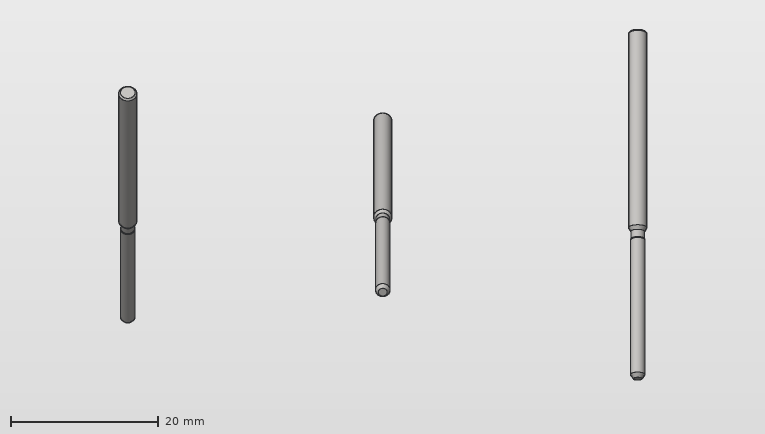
import cadquery as cq

total_length = 50.0

shank_radius = 1.25
shank_top_chamfer = 0.25
shank_bottom_z = 21.75
neck_radius = 0.95
neck_top_z = 21.2

pin_radius = 1.0
pin_length = 20.15
pin_top_chamfer = pin_radius - neck_radius
pin_top_chamfer_height = 0.15
tip_radius = 0.6
tip_height = 0.6


def turned_body(profile):
    """Revolve a list of (radius, height) points around the Z axis."""
    return cq.Workplane("XZ").polyline(profile).close().revolve(360, (0, 0), (0, 1))


def make_shank():
    """Upper body: chamfered cylinder, tapered shoulder and neck."""
    return turned_body([
        (0, pin_length),
        (neck_radius, pin_length),
        (neck_radius, neck_top_z),
        (shank_radius, shank_bottom_z),
        (shank_radius, total_length - shank_top_chamfer),
        (shank_radius - shank_top_chamfer, total_length),
        (0, total_length),
    ])


def make_pin():
    """Lower body: slim cylinder with a tapered tip and a chamfered top."""
    return turned_body([
        (0, 0),
        (tip_radius, 0),
        (pin_radius, tip_height),
        (pin_radius, pin_length - pin_top_chamfer_height),
        (pin_radius - pin_top_chamfer, pin_length),
        (0, pin_length),
    ])


shank = make_shank()
pin = make_pin()

result = cq.Compound.makeCompound([shank.val(), pin.val()])